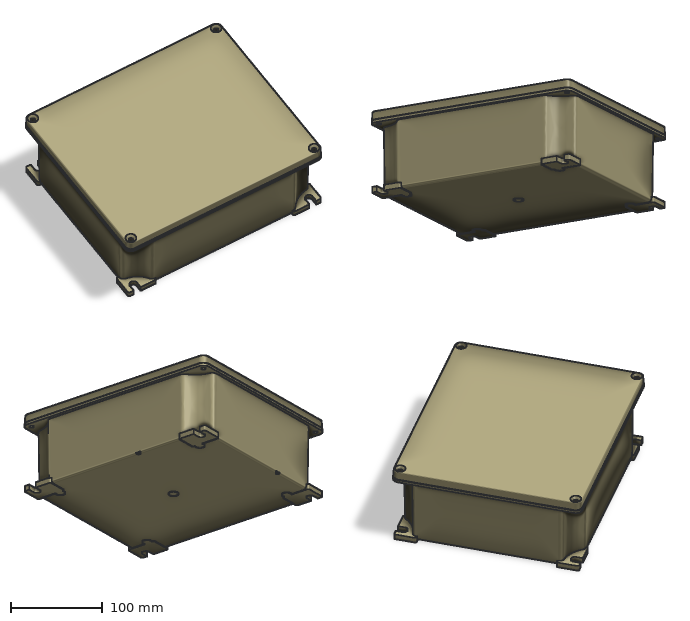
import cadquery as cq
import math


rim_length_x = 214.8
rim_length_y = 251.8
total_height = 91.75

rim_bottom = 78.3
rim_top = 81.4
lid_bottom = 82.0
lid_inset = 0.3
lid_draft = 0.4
lid_edge_fillet = 1.6
screw_inset = 7.8

screw_hole_diameter = 5.0
countersink_diameter = 11.8
countersink_depth = 2.8

box_bottom = 0.8
wall_inset = 3.95
wall_draft = 1.0
box_bottom_fillet = 3.6
flat_half_x = 80.4
flat_half_y = 89.2
shoulder_radius = 6.3
scallop_radius = 32.0

foot_height = 6.4
foot_outer_x = 104.8
foot_inner_x = 79.5
foot_outer_y = 124.3
foot_inner_y = 88.2
foot_corner_radius = 2.0
foot_slot_width = 8.8
foot_slot_y = 113.1
foot_slot_end_x = 97.0

pad_diameter = 11.0
pad_x = 77.2
pad_y = 96.0
notch_diameter = 6.0
notch_offset = 30.2
notch_top = 2.6

half_x = rim_length_x / 2
half_y = rim_length_y / 2
quadrants = [(sx, sy) for sx in (-1, 1) for sy in (-1, 1)]


def rounded_plate(length_x, length_y, radius, bottom, top):
    plate = cq.Workplane("XY").box(length_x, length_y, top - bottom, centered=(True, True, False))
    return plate.edges("|Z").fillet(radius).translate((0, 0, bottom))


def draft_angle(lean, height):
    return math.degrees(math.atan2(lean, height))


def between(start, end, distance):
    """Point at the given distance from start on the way to end."""
    share = distance / math.dist(start, end)
    return tuple(a + (b - a) * share for a, b in zip(start, end))


def corner_arcs(wall_x, wall_y):
    """(middle, end) of the three arcs in the +X +Y corner, from the X wall to the Y wall."""
    r = shoulder_radius
    x_shoulder = (wall_x - r, flat_half_y)
    y_shoulder = (flat_half_x, wall_y - r)

    span_x = y_shoulder[0] - x_shoulder[0]
    span_y = y_shoulder[1] - x_shoulder[1]
    span = math.hypot(span_x, span_y)
    reach = math.sqrt((scallop_radius + r) ** 2 - (span / 2) ** 2)
    scallop = (
        (x_shoulder[0] + y_shoulder[0]) / 2 + reach * span_y / span,
        (x_shoulder[1] + y_shoulder[1]) / 2 - reach * span_x / span,
    )
    scallop_start = between(x_shoulder, scallop, r)
    scallop_end = between(y_shoulder, scallop, r)
    scallop_foot = between(x_shoulder, y_shoulder, span / 2)

    def shoulder_middle(centre, wall_angle):
        tangent_angle = math.atan2(scallop[1] - centre[1], scallop[0] - centre[0])
        angle = (wall_angle + tangent_angle) / 2
        return (centre[0] + r * math.cos(angle), centre[1] + r * math.sin(angle))

    return [
        (shoulder_middle(x_shoulder, 0), scallop_start),
        (between(scallop, scallop_foot, scallop_radius), scallop_end),
        (shoulder_middle(y_shoulder, math.pi / 2), (flat_half_x, wall_y)),
    ]


def make_box():
    wall_x = half_x - wall_inset
    wall_y = half_y - wall_inset
    arcs = corner_arcs(wall_x, wall_y)
    first = (wall_x, flat_half_y)
    middles = [middle for middle, end in arcs]
    points = [first] + [end for middle, end in arcs]
    forward = list(zip(middles, points[1:]))
    backward = list(zip(reversed(middles), reversed(points[:-1])))

    corners = [(1, 1, forward), (-1, 1, backward), (-1, -1, forward), (1, -1, backward)]
    outline = cq.Workplane("XY", origin=(0, 0, rim_bottom)).moveTo(wall_x, -flat_half_y)
    for sx, sy, steps in corners:
        corner_start = points[0] if steps is forward else points[-1]
        outline = outline.lineTo(sx * corner_start[0], sy * corner_start[1])
        for middle, end in steps:
            outline = outline.threePointArc(
                (sx * middle[0], sy * middle[1]),
                (sx * end[0], sy * end[1]),
            )
    wall_height = rim_bottom - box_bottom
    box = outline.close().extrude(-wall_height, taper=draft_angle(wall_draft, wall_height))
    return box.faces("<Z").edges().fillet(box_bottom_fillet)


def make_rim():
    rim = rounded_plate(rim_length_x, rim_length_y, screw_inset, rim_bottom, lid_bottom)
    return rim.faces(">Z").chamfer(lid_bottom - rim_top, lid_inset)


def make_lid():
    lid_height = total_height - lid_bottom
    corner_radius = screw_inset - lid_inset
    outline = (
        cq.Sketch()
        .rect(rim_length_x - 2 * lid_inset, rim_length_y - 2 * lid_inset)
        .vertices()
        .fillet(corner_radius)
    )
    lid = (
        cq.Workplane("XY", origin=(0, 0, lid_bottom))
        .placeSketch(outline)
        .extrude(lid_height, taper=draft_angle(lid_draft, lid_height))
    )
    return lid.faces(">Z").edges().fillet(lid_edge_fillet)


def make_foot():
    """Foot of the +X +Y corner, with its slot open towards +X."""
    length_x = foot_outer_x - foot_inner_x
    length_y = foot_outer_y - foot_inner_y
    middle_y = (foot_outer_y + foot_inner_y) / 2
    foot = rounded_plate(length_x, length_y, foot_corner_radius, 0, foot_height)
    foot = foot.translate(((foot_outer_x + foot_inner_x) / 2, middle_y, 0))

    slot_length = 2 * (foot_outer_x - foot_slot_end_x) + foot_slot_width
    slot = (
        cq.Workplane("XY", origin=(foot_outer_x, foot_slot_y, 0))
        .slot2D(slot_length, foot_slot_width)
        .extrude(foot_height)
    )
    return foot.cut(slot)


def make_feet():
    foot = make_foot()
    feet = foot.union(foot.mirror("YZ"))
    return feet.union(feet.mirror("XZ"))


def drill_lid_screws(body):
    centres = [(sx * (half_x - screw_inset), sy * (half_y - screw_inset)) for sx, sy in quadrants]
    holes = (
        cq.Workplane("XY", origin=(0, 0, rim_bottom))
        .pushPoints(centres)
        .circle(screw_hole_diameter / 2)
        .extrude(total_height - rim_bottom)
    )
    cone = cq.Solid.makeCone(
        screw_hole_diameter / 2,
        countersink_diameter / 2,
        countersink_depth,
    )
    body = body.cut(holes)
    for x, y in centres:
        body = body.cut(cq.Workplane(cone.translate(cq.Vector(x, y, total_height - countersink_depth))))
    return body


def cut_bottom_notches(body):
    """Half-round notches in the bottom fillet of the -X and -Y walls."""
    foot_of_wall_x = half_x - wall_inset - wall_draft
    foot_of_wall_y = half_y - wall_inset - wall_draft
    notches = (
        cq.Workplane("XY")
        .pushPoints([(notch_offset, -foot_of_wall_y), (-foot_of_wall_x, -notch_offset)])
        .circle(notch_diameter / 2)
        .extrude(notch_top)
    )
    return body.cut(notches)


def make_pads():
    centres = [(0, 0)] + [(sx * pad_x, sy * pad_y) for sx, sy in quadrants]
    return cq.Workplane("XY").pushPoints(centres).circle(pad_diameter / 2).extrude(box_bottom)


body = make_box().union(make_rim()).union(make_lid())
body = cut_bottom_notches(drill_lid_screws(body))
result = body.union(make_feet()).union(make_pads())